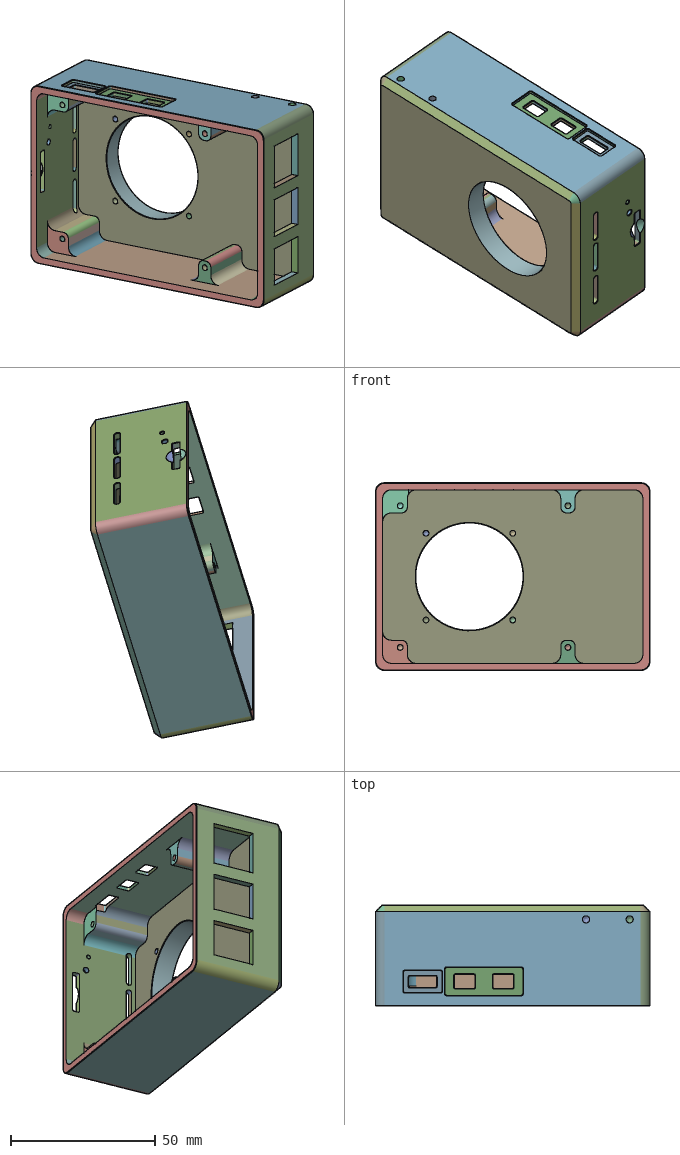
import cadquery as cq
import math


length = 95.0
depth = 35.0
height = 65.0
wall = 2.5
back_wall = 7.6
outer_radius = 3.1
inner_radius = 3.0
back_chamfer = 2.3
floor_y = depth - back_wall
mid_z = height / 2

edge_break = 0.2
edge_break_angle = 45.0

post_width = 4.9
post_corner = 2.0
post_root_radius = 3.0
post_front_y = 7.0
post_left_x = 8.55
post_pitch_x = 58.0
post_pitch_z = 49.0
post_edge_z = (height - post_pitch_z) / 2
post_bore = 2.0
post_bore_depth = 7.6

fan_x = 32.5
fan_opening = 37.1
fan_pitch = 30.0
fan_bore = 2.0
fan_bore_depth = 4.75

top_hole_x = (72.9, 88.0)
top_hole_y = 30.0
top_hole_bore = 2.5
top_hole_depth = 5.7

drill_point_angle = 118.0

opening_reach = wall + post_root_radius

recess_depth = 1.0
recess_corner = 0.6
port_corner = 0.5
power_x = 16.3
power_y = 8.5
power_recess = (13.4, 7.6)
power_opening = (9.7, 4.0)
video_x = 37.5
video_y = 8.55
video_recess = (26.9, 9.6)
video_opening = (7.1, 4.9)
video_pitch = 13.4

vent_length = 12.2
vent_width = 2.1
vent_y = 24.9
vent_z = (17.5, mid_z, 46.55)
indicators = ((8.8, 47.4, 1.4), (7.9, 42.1, 2.1))
card_y = 3.9
card_width = 2.7
card_length = 15.0
card_corner = 0.5
dimple_radius = 3.5
dimple_depth = 1.9

window_front_y = 7.0
window_back_y = 22.3
window_spans = ((6.7, 20.0), (24.5, 38.0), (42.4, 57.7))


def box(x0, x1, y0, y1, z0, z1):
    return cq.Workplane("XY").box(x1 - x0, y1 - y0, z1 - z0, centered=False).translate((x0, y0, z0))


def drilled(bore, bore_depth, origin, direction):
    """Cylinder with a drill point, running from origin along direction."""
    radius = bore / 2
    tip = radius / math.tan(math.radians(drill_point_angle / 2))
    barrel = cq.Solid.makeCylinder(radius, bore_depth, cq.Vector(*origin), cq.Vector(*direction))
    bottom = cq.Vector(*origin) + cq.Vector(*direction) * bore_depth
    return barrel.fuse(cq.Solid.makeCone(radius, 0, tip, bottom, cq.Vector(*direction)))


def flared(profile, cut_depth):
    """Cutter below Z = 0 whose mouth flares out by the edge break; profile is drawn on XY."""
    cutter = profile.extrude(cut_depth - edge_break)
    cutter = cutter.faces(">Z").wires().toPending().extrude(edge_break, taper=-edge_break_angle)
    return cutter.translate((0, 0, -cut_depth))


def rounded_rect(size, corner):
    return cq.Workplane("XY").placeSketch(cq.Sketch().rect(*size).vertices().fillet(corner))


def cut_from_top(body, cutter, x, y):
    return body.cut(cutter.translate((x, y, height)))


def cut_from_left(body, cutter, y, z):
    return body.cut(cutter.rotate((0, 0, 0), (0, 1, 0), -90).translate((0, y, z)))


def make_shell():
    outer = box(0, length, 0, depth, 0, height).edges("|Y").fillet(outer_radius)
    outer = outer.faces(">Y").chamfer(back_chamfer)
    outer = outer.faces("<Y").chamfer(edge_break)
    cavity = box(wall, length - wall, 0, floor_y, wall, height - wall)
    return outer.cut(cavity.edges("|Y").fillet(inner_radius))


def post_prism(profile):
    """Extrude a closed XZ profile from the post front to the cavity floor."""
    return profile.close().extrude(post_front_y - floor_y).translate((0, post_front_y, 0))


def make_wall_post(x):
    """Round-cornered post standing on the bottom wall, flared at its root."""
    left = x - post_width / 2
    right = x + post_width / 2
    top = post_edge_z + post_width / 2
    root = post_root_radius
    profile = (
        cq.Workplane("XZ")
        .moveTo(left - root, wall / 2)
        .lineTo(left - root, wall)
        .radiusArc((left, wall + root), -root)
        .lineTo(left, top - post_corner)
        .radiusArc((left + post_corner, top), post_corner)
        .lineTo(right - post_corner, top)
        .radiusArc((right, top - post_corner), post_corner)
        .lineTo(right, wall + root)
        .radiusArc((right + root, wall), -root)
        .lineTo(right + root, wall / 2)
    )
    return post_prism(profile)


def make_corner_post(x):
    """Post filling the bottom left corner, flared into both walls."""
    right = x + post_width / 2
    top = post_edge_z + post_width / 2
    root = post_root_radius
    profile = (
        cq.Workplane("XZ")
        .moveTo(wall / 2, outer_radius)
        .lineTo(wall / 2, top + root)
        .lineTo(wall, top + root)
        .radiusArc((wall + root, top), -root)
        .lineTo(right - post_corner, top)
        .radiusArc((right, top - post_corner), post_corner)
        .lineTo(right, wall + root)
        .radiusArc((right + root, wall), -root)
        .lineTo(right + root, wall / 2)
        .lineTo(outer_radius, wall / 2)
    )
    return post_prism(profile)


def add_posts(body):
    right_x = post_left_x + post_pitch_x
    for post in (make_corner_post(post_left_x), make_wall_post(right_x)):
        body = body.union(post).union(post.mirror("XY", (0, 0, mid_z)))
    for x in (post_left_x, right_x):
        for z in (post_edge_z, height - post_edge_z):
            body = body.cut(drilled(post_bore, post_bore_depth, (x, post_front_y, z), (0, 1, 0)))
    return body


def cut_fan(body):
    opening = flared(cq.Workplane("XY").circle(fan_opening / 2), back_wall)
    opening = opening.rotate((0, 0, 0), (1, 0, 0), 90)
    body = body.cut(opening.translate((fan_x, floor_y, mid_z)))
    for dx in (-fan_pitch / 2, fan_pitch / 2):
        for dz in (-fan_pitch / 2, fan_pitch / 2):
            start = (fan_x + dx, floor_y, mid_z + dz)
            body = body.cut(drilled(fan_bore, fan_bore_depth, start, (0, 1, 0)))
    return body


def cut_top(body):
    for x in top_hole_x:
        body = body.cut(drilled(top_hole_bore, top_hole_depth, (x, top_hole_y, height), (0, 0, -1)))
    port_reach = opening_reach - recess_depth
    power_port = flared(rounded_rect(power_opening, port_corner), port_reach)
    video_port = flared(rounded_rect(video_opening, port_corner), port_reach)
    ports = (
        (power_x, power_y, power_recess, power_port, (0,)),
        (video_x, video_y, video_recess, video_port, (-video_pitch / 2, video_pitch / 2)),
    )
    for x, y, recess_size, port, port_offsets in ports:
        recess = flared(rounded_rect(recess_size, recess_corner), recess_depth)
        body = cut_from_top(body, recess, x, y)
        for dx in port_offsets:
            body = cut_from_top(body, port.translate((0, 0, -recess_depth)), x + dx, y)
    return body


def cut_left_wall(body):
    vent = flared(cq.Workplane("XY").slot2D(vent_length, vent_width), opening_reach)
    for z in vent_z:
        body = cut_from_left(body, vent, vent_y, z)
    for y, z, bore in indicators:
        body = cut_from_left(body, flared(cq.Workplane("XY").circle(bore / 2), opening_reach), y, z)
    card = flared(rounded_rect((card_length, card_width), card_corner), opening_reach)
    body = cut_from_left(body, card, card_y, mid_z)
    ball_radius = (dimple_radius**2 + dimple_depth**2) / (2 * dimple_depth)
    ball = cq.Workplane("XY").sphere(ball_radius)
    return body.cut(ball.translate((dimple_depth - ball_radius, card_y, mid_z)))


def cut_windows(body):
    for bottom, top in window_spans:
        body = body.cut(box(length - wall, length, window_front_y, window_back_y, bottom, top))
    return body


result = make_shell()
result = add_posts(result)
result = cut_fan(result)
result = cut_top(result)
result = cut_left_wall(result)
result = cut_windows(result)